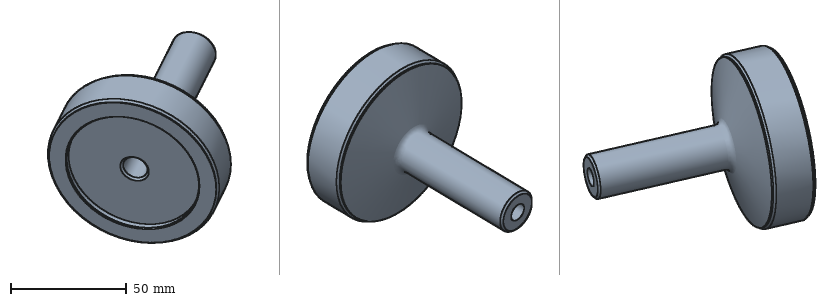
import cadquery as cq
import math


disc_radius = 78 / 2
rim_chamfer = 1.0
rim_land = 0.5
edge_radius = disc_radius - rim_chamfer
disc_height = 20.0

cone_angle = math.radians(15)
neck_fillet = 3.0

shaft_radius = 20 / 2
shaft_chamfer = 1.0
total_length = 90.0

recess_radius = 60 / 2
recess_depth = 3.0
recess_chamfer = 0.5

bore_radius = 11 / 2
bore_depth = 15.0
bore_chamfer = 1.0
through_radius = 8.1 / 2
drill_point_angle = math.radians(118)


def cone_height(radius):
    """Y position of the shoulder cone, which would meet the full disc radius at the disc height."""
    return disc_height + (disc_radius - radius) * math.tan(cone_angle)


def revolve_about_y(points):
    return cq.Workplane("XY").polyline(points).close().revolve(360, (0, 0, 0), (0, 1, 0))


def make_body():
    lower_chamfer_end = rim_land + rim_chamfer
    upper_chamfer_end = disc_height - rim_land
    neck_height = cone_height(shaft_radius)
    body = revolve_about_y([
        (0, 0),
        (edge_radius, 0),
        (edge_radius, rim_land),
        (disc_radius, lower_chamfer_end),
        (disc_radius, upper_chamfer_end - rim_chamfer),
        (edge_radius, upper_chamfer_end),
        (edge_radius, cone_height(edge_radius)),
        (shaft_radius, neck_height),
        (shaft_radius, total_length - shaft_chamfer),
        (shaft_radius - shaft_chamfer, total_length),
        (0, total_length),
    ])
    neck_edge = cq.selectors.BoxSelector(
        (-disc_radius, neck_height - neck_fillet, -disc_radius),
        (disc_radius, neck_height + neck_fillet, disc_radius),
        boundingbox=True,
    )
    return body.edges("%CIRCLE").edges(neck_edge).fillet(neck_fillet)


def make_recess():
    return revolve_about_y([
        (0, 0),
        (recess_radius + recess_chamfer, 0),
        (recess_radius, recess_chamfer),
        (recess_radius, recess_depth),
        (0, recess_depth),
    ])


def make_bore():
    bore_end = recess_depth + bore_depth
    point_length = (bore_radius - through_radius) / math.tan(drill_point_angle / 2)
    return revolve_about_y([
        (0, recess_depth),
        (bore_radius + bore_chamfer, recess_depth),
        (bore_radius, recess_depth + bore_chamfer),
        (bore_radius, bore_end),
        (through_radius, bore_end + point_length),
        (through_radius, total_length),
        (0, total_length),
    ])


result = make_body().cut(make_recess()).cut(make_bore())